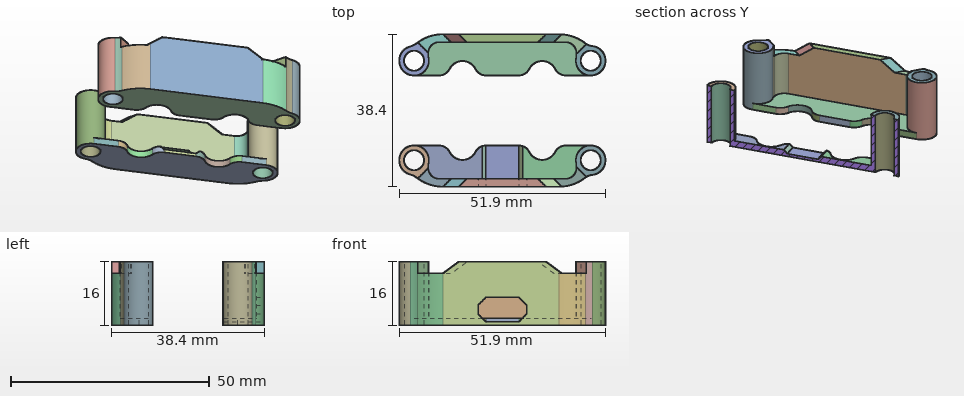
import cadquery as cq
import math

length = 51.9
width = 38.4
height = 16.0
wall = 2.0
floor = 1.8

boss_radius = 3.75
hole_diameter = 5.0
depth = 10.45
outer_y = -width / 2
inner_y = outer_y + depth
boss_x = length / 2 - boss_radius
boss_y = inner_y - boss_radius

left_flat_end = 14.95
left_corner_radius = 10.65
left_blend_radius = 5.2
right_flat_end = 14.15
right_corner_radius = 10.9
right_blend_radius = 3.1

cavity_half_length = 18.65
cavity_corner_radius = 2.75

scallop_x = 10.0
scallop_radius = 3.65
scallop_lip_radius = 3.0

step_drop = 2.9
ramp_bottom_x = 14.95
ramp_top_x = 11.0
left_step_offset = 5.55
right_step_offset = 5.3

opening_length = 12.25
opening_height = 6.1
opening_corner = 1.95
opening_bottom = 0.9


def corner_points(flat_end, corner_radius, blend_radius):
    """Points of the outer corner at +X: flat end, arc middle, blend start, blend middle, blend end."""
    arc_y = outer_y + corner_radius
    dx = boss_x - flat_end
    dy = boss_y - arc_y
    spacing = math.hypot(dx, dy)
    reach = corner_radius + blend_radius
    boss_reach = boss_radius + blend_radius
    along = (spacing**2 + reach**2 - boss_reach**2) / (2 * spacing)
    across = math.sqrt(reach**2 - along**2)
    blend_x = flat_end + (along * dx + across * dy) / spacing
    blend_y = arc_y + (along * dy - across * dx) / spacing

    arc_end_angle = math.atan2(blend_y - arc_y, blend_x - flat_end)
    arc_mid_angle = (arc_end_angle - math.pi / 2) / 2
    blend_start_angle = math.atan2(arc_y - blend_y, flat_end - blend_x)
    blend_end_angle = math.atan2(boss_y - blend_y, boss_x - blend_x)
    blend_mid_angle = (blend_start_angle + blend_end_angle) / 2

    def polar(x, y, radius, angle):
        return (x + radius * math.cos(angle), y + radius * math.sin(angle))

    return [
        (flat_end, outer_y),
        polar(flat_end, arc_y, corner_radius, arc_mid_angle),
        polar(flat_end, arc_y, corner_radius, arc_end_angle),
        polar(blend_x, blend_y, blend_radius, blend_mid_angle),
        polar(blend_x, blend_y, blend_radius, blend_end_angle),
    ]


def outline_block():
    """Full-height solid of the bracket's plan outline."""
    right = corner_points(right_flat_end, right_corner_radius, right_blend_radius)
    left = [(-x, y) for x, y in corner_points(left_flat_end, left_corner_radius, left_blend_radius)]
    return (
        cq.Workplane("XY")
        .moveTo(*left[0])
        .lineTo(*right[0])
        .threePointArc(right[1], right[2])
        .threePointArc(right[3], right[4])
        .threePointArc((length / 2, boss_y), (boss_x, inner_y))
        .lineTo(-boss_x, inner_y)
        .threePointArc((-length / 2, boss_y), left[4])
        .threePointArc(left[3], left[2])
        .threePointArc(left[1], left[0])
        .close()
        .extrude(height)
    )


def bosses(radius):
    """Full-height cylinders on both boss axes."""
    return (
        cq.Workplane("XY")
        .pushPoints([(-boss_x, boss_y), (boss_x, boss_y)])
        .circle(radius)
        .extrude(height)
    )


def cavity():
    """Space above the floor, open towards Y = 0 and stopping at the bosses."""
    cavity_depth = 2 * (depth - wall)
    pocket = (
        cq.Workplane("XY", origin=(0, outer_y + wall + cavity_depth / 2, floor))
        .rect(2 * cavity_half_length, cavity_depth)
        .extrude(height)
        .edges("|Z and <Y")
        .fillet(cavity_corner_radius)
    )
    side_strip = (
        cq.Workplane("XY", origin=(0, (boss_y + inner_y) / 2, floor))
        .rect(2 * boss_x, boss_radius)
        .extrude(height)
    )
    return pocket.union(side_strip).cut(bosses(boss_radius))


def scallop(x):
    """Round bite in the floor edge with rounded lips."""
    lip_reach = scallop_radius + scallop_lip_radius
    lip_x = math.sqrt(lip_reach**2 - scallop_lip_radius**2)
    lip_angle = math.asin(scallop_lip_radius / lip_reach)
    meet_x = scallop_radius * math.cos(lip_angle)
    meet_y = inner_y - scallop_radius * math.sin(lip_angle)
    lip_mid_angle = (math.pi / 2 + math.pi - lip_angle) / 2
    lip_mid_x = lip_x + scallop_lip_radius * math.cos(lip_mid_angle)
    lip_mid_y = inner_y - scallop_lip_radius * (1 - math.sin(lip_mid_angle))
    return (
        cq.Workplane("XY")
        .moveTo(x - lip_x, inner_y)
        .threePointArc((x - lip_mid_x, lip_mid_y), (x - meet_x, meet_y))
        .threePointArc((x, inner_y - scallop_radius), (x + meet_x, meet_y))
        .threePointArc((x + lip_mid_x, lip_mid_y), (x + lip_x, inner_y))
        .close()
        .extrude(height)
    )


def wall_step(side, step_offset):
    """Cutter that lowers one wall end (side is -1 or 1), between the step face and the ramp."""
    step_z = height - step_drop
    step_x = boss_x - step_offset + boss_y - outer_y
    profile = [
        (side * ramp_top_x, height),
        (side * ramp_bottom_x, step_z),
        (side * step_x, step_z),
        (side * step_x, height),
    ]
    shift = -side * depth
    near = cq.Wire.makePolygon([cq.Vector(x, outer_y, z) for x, z in profile], close=True)
    far = near.moved(cq.Location(cq.Vector(shift, depth, 0)))
    return cq.Workplane(cq.Solid.makeLoft([near, far], True))


def bracket():
    """One plain bracket on the -Y side."""
    body = outline_block().cut(cavity()).cut(bosses(hole_diameter / 2))
    for x in (-scallop_x, scallop_x):
        body = body.cut(scallop(x))
    for side, step_offset in ((-1, left_step_offset), (1, right_step_offset)):
        body = body.cut(wall_step(side, step_offset))
    return body


def octagonal_opening():
    """Octagonal prism through the wall and across the floor."""
    return (
        cq.Workplane("XZ", origin=(0, inner_y, opening_bottom + opening_height / 2))
        .rect(opening_length, opening_height)
        .extrude(depth)
        .edges("|Y")
        .chamfer(opening_corner)
    )


front_bracket = bracket().cut(octagonal_opening())
back_bracket = bracket().mirror("XZ")

result = cq.Compound.makeCompound([front_bracket.solids().val(), back_bracket.solids().val()])